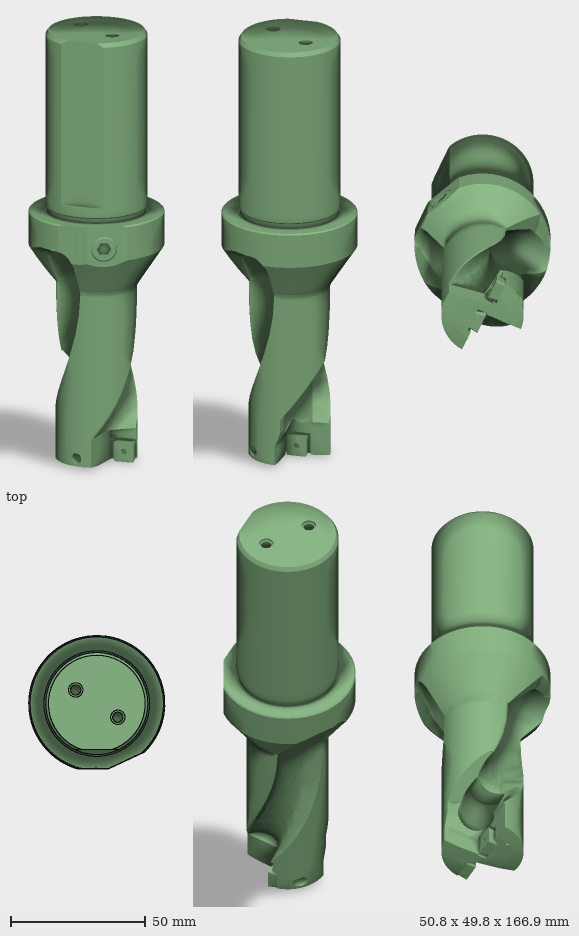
import cadquery as cq
import math

total_length = 166.9
shank_radius = 19.0
shank_chamfer_width = 1.0
shank_chamfer_height = 1.5
shank_flat_y = -17.1
shank_flat_bottom = 103.0
relief_depth = 0.5
relief_height = 2.0
relief_edge_radius = 19.7
flange_radius = 25.4
flange_top = 97.3
flange_bottom = 84.0
flange_chamfer = 0.5
cone_bottom = 68.8
cone_fillet = 3.3
body_radius = 15.4
tip_land_radius = 10.0
tip_land_z = 0.5
tip_edge_z = 1.2
pip_x = -7.8
pip_y = -6.3
pip_radius = 0.8

flange_flat_distance = 24.4
plug_flat_distance = 23.9
plug_flat_angle = 25
plug_z = 88.5
plug_radius = 4.8
plug_length = 5.0
mark_x = -0.3
mark_width = 0.3
mark_depth = 0.3
plug_chamfer = 0.5
plug_socket_size = 5.5
plug_socket_depth = 2.5

inlet_x = -7.8
inlet_y = 5.09
inlet_diameter = 3.8
inlet_recess_diameter = 5.3
inlet_recess_depth = 0.8
inlet_depth = 16.7
drill_point_angle = 118

slot_radius = 7.0
slot_x = -8.3
slot_y = -7.0
flute_edge = (-14.9, -2.8)
flute_edge_outer = (-18.4, 4.3)
flute_top = 69.0
flute_bottom = 11.7
flute_twist = 90
flute_sections = 9

runout_end_y = -13.7
runout_end_z = 79.8
relief_foot = (-2.2, 68.5)
relief_bend = (-14.7, 84.3)
relief_top = (-20, 86.8)
relief_turn = 8
relief_pivot = (-16.7, -8.3, 0)

gullet_center = (-4.2, 4.7, 16.5)
gullet_tilt = 17
gullet_length = 15
gullet_relief_point = (-10.3, 11.3, 32.0)
gullet_relief_normal = (-12.7, -4.7, -10.9)
gullet_relief_top = (2.5, 40)
gullet_relief_foot = (6.7, 14.0)

insert_size = 7.8
insert_thickness = 3.7
insert_corner = 0.7
insert_relief_angle = 7
insert_face = 1.0
insert_center_z = 4.2
outer_insert_x = 11.0
inner_insert_x = -3.0
seat_clearance = 0.8
seat_corner_radius = 1.2
seat_wall = 1.3
outer_chip_right = 17.0
outer_shelf_top = 12.2
outer_shelf_tilt = 8
outer_wall_rim_x = 2.8
outer_wall_inner_x = 5.5
inner_chip_right = 1.2
inner_chip_top = 8.2
inner_chip_slope_end = (-1.0, 14.0)
screw_radius = 2.0
screw_head_radius = 2.7
screw_head_height = 1.7
screw_length = 9.2
screw_tip_chamfer = 0.8
screw_socket_size = 2.5
screw_socket_depth = 1.0

full_turn = 360
half_turn = 180
selection_margin = 0.2
beyond = 33.4


def turned_blank():
    groove_radius = shank_radius - relief_depth
    blank = (
        cq.Workplane("XZ")
        .moveTo(0, tip_land_z)
        .lineTo(tip_land_radius, tip_land_z)
        .lineTo(body_radius, tip_edge_z)
        .lineTo(body_radius, cone_bottom)
        .lineTo(flange_radius, flange_bottom)
        .lineTo(flange_radius, flange_top - flange_chamfer)
        .lineTo(flange_radius - flange_chamfer, flange_top)
        .lineTo(relief_edge_radius, flange_top)
        .lineTo(relief_edge_radius, flange_top - relief_depth)
        .lineTo(groove_radius, flange_top - relief_depth)
        .lineTo(groove_radius, flange_top + relief_height - relief_depth)
        .lineTo(shank_radius, flange_top + relief_height)
        .lineTo(shank_radius, total_length - shank_chamfer_height)
        .lineTo(shank_radius - shank_chamfer_width, total_length)
        .lineTo(0, total_length)
        .close()
        .revolve(full_turn, (0, 0, 0), (0, 1, 0))
    )
    band_low = (-beyond, -beyond, cone_bottom - selection_margin)
    band_high = (beyond, beyond, cone_bottom + selection_margin)
    cone_foot = cq.selectors.BoxSelector(band_low, band_high)
    blank = blank.edges(cone_foot).fillet(cone_fillet)
    pip = cq.Workplane("XY").center(pip_x, pip_y).circle(pip_radius).extrude(2 * tip_land_z)
    return blank.union(pip)


def shank_flat():
    height = total_length - shank_flat_bottom
    return (
        cq.Workplane("XY")
        .box(2 * beyond, beyond, height, centered=(True, False, False))
        .translate((0, shank_flat_y - beyond, shank_flat_bottom))
    )


def flange_flat(distance, angle):
    """Cutter for a flat facing -Y at the given distance, turned about Z by the angle."""
    height = flange_top - cone_bottom
    return (
        cq.Workplane("XY")
        .box(2 * beyond, beyond, height, centered=(True, False, False))
        .translate((0, -distance - beyond, cone_bottom))
        .rotate((0, 0, 0), (0, 0, 1), angle)
    )


def alignment_mark():
    """Shallow groove along the flange's -Y flat."""
    height = flange_top - flange_bottom
    return (
        cq.Workplane("XY")
        .box(mark_width, 2 * mark_depth, 2 * height)
        .translate((mark_x, -flange_flat_distance, flange_top))
    )


def coolant_inlets():
    cone_height = inlet_diameter / 2 / math.tan(math.radians(drill_point_angle / 2))
    inlet = (
        cq.Workplane("XZ")
        .lineTo(inlet_recess_diameter / 2, 0)
        .lineTo(inlet_recess_diameter / 2, -inlet_recess_depth)
        .lineTo(inlet_diameter / 2, -inlet_recess_depth)
        .lineTo(inlet_diameter / 2, -inlet_depth)
        .lineTo(0, -inlet_depth - cone_height)
        .close()
        .revolve(full_turn, (0, 0, 0), (0, 1, 0))
        .translate((inlet_x, inlet_y, total_length))
    )
    return inlet.union(inlet.rotate((0, 0, 0), (0, 0, 1), half_turn))


def flute_section():
    wall_x = slot_x + slot_radius
    bottom = (slot_x, slot_y + slot_radius)
    return (
        cq.Workplane("XY")
        .moveTo(wall_x, -beyond)
        .lineTo(wall_x, slot_y)
        .threePointArc(bottom, flute_edge)
        .lineTo(*flute_edge_outer)
        .lineTo(-beyond, flute_edge_outer[1])
        .lineTo(-beyond, -beyond)
        .close()
    )


def flute():
    section = flute_section().val()
    axis_start = cq.Vector(0, 0, 0)
    axis_end = cq.Vector(0, 0, 1)
    wires = []
    for i in range(flute_sections):
        fraction = i / (flute_sections - 1)
        z = flute_top - fraction * (flute_top - flute_bottom)
        turned = section.rotate(axis_start, axis_end, -flute_twist * fraction**2)
        wires.append(turned.translate(cq.Vector(0, 0, z)))
    twisted = cq.Workplane(cq.Solid.makeLoft(wires))
    return twisted.union(flute_runout())


def flute_runout():
    start = cq.Vector(slot_x, slot_y, flute_top)
    end = cq.Vector(slot_x, runout_end_y, runout_end_z)
    climb = end - start
    outward = cq.Vector(0, -1, 0)
    lower_ball = cq.Workplane("XY").sphere(slot_radius).translate(start)
    upper_ball = cq.Workplane("XY").sphere(slot_radius).translate(end)
    climbing_bottom = cq.Solid.makeCylinder(slot_radius, climb.Length, start, climb)
    level_top = cq.Solid.makeCylinder(slot_radius, beyond, end, outward)
    opening = (
        cq.Workplane("YZ", origin=(slot_x, 0, 0))
        .moveTo(slot_y, flute_top)
        .lineTo(runout_end_y, runout_end_z)
        .lineTo(-beyond, runout_end_z)
        .lineTo(-beyond, flute_top)
        .close()
        .extrude(slot_radius, both=True)
    )
    climbing_slot = lower_ball.union(climbing_bottom).union(opening)
    return climbing_slot.union(upper_ball).union(level_top).union(runout_relief())


def runout_relief():
    """Sloping face that opens the run-out toward -X."""
    relief = (
        cq.Workplane("YZ", origin=(slot_x, 0, 0))
        .moveTo(*relief_foot)
        .lineTo(*relief_bend)
        .lineTo(*relief_top)
        .lineTo(-beyond, relief_top[1])
        .lineTo(-beyond, relief_foot[1])
        .close()
        .extrude(-beyond)
    )
    pivot = cq.Vector(relief_pivot)
    return relief.rotate(pivot, pivot + cq.Vector(0, 0, 1.7), -relief_turn)


def gullet():
    cutter = cq.Workplane("XY").circle(slot_radius).extrude(gullet_length)
    cutter = cutter.union(cq.Workplane("XY").sphere(slot_radius))
    return cutter.rotate((0, 0, 0), (1, 0, 0), gullet_tilt).translate(gullet_center)


def gullet_relief():
    """Inclined cut that widens the gullet's trailing edge down to the chip room."""
    inner_end = (inner_chip_slope_end[0], 0, 0)
    outline = (
        cq.Workplane("YZ", origin=inner_end)
        .moveTo(*gullet_relief_top)
        .lineTo(*gullet_relief_foot)
        .lineTo(beyond, gullet_relief_foot[1])
        .lineTo(beyond, gullet_relief_top[1])
        .close()
        .extrude(-beyond)
    )
    face = cq.Plane(origin=gullet_relief_point, normal=gullet_relief_normal)
    outside = cq.Workplane(face).rect(4 * beyond, 4 * beyond).extrude(2 * beyond)
    return outline.intersect(outside)


def outer_chip_space():
    """Flat shelf behind the outer insert, open to the front and to the tip."""
    rise = (outer_chip_right - outer_wall_inner_x) * math.tan(math.radians(outer_shelf_tilt))
    plan = (
        cq.Workplane("XY")
        .moveTo(outer_wall_rim_x, -body_radius)
        .lineTo(outer_wall_inner_x, seat_wall)
        .lineTo(outer_chip_right, seat_wall)
        .lineTo(outer_chip_right, -body_radius)
        .close()
        .extrude(outer_shelf_top + rise)
    )
    side = (
        cq.Workplane("XZ")
        .lineTo(0, outer_shelf_top)
        .lineTo(outer_wall_inner_x, outer_shelf_top)
        .lineTo(outer_chip_right, outer_shelf_top + rise)
        .lineTo(outer_chip_right, 0)
        .close()
        .extrude(beyond, both=True)
    )
    return plan.intersect(side)


def inner_chip_space():
    """Chip room beside the inner insert, reaching just past the axis."""
    return (
        cq.Workplane("XZ", origin=(0, -seat_wall, 0))
        .moveTo(inner_chip_right, 0)
        .lineTo(inner_chip_right, inner_chip_top)
        .lineTo(*inner_chip_slope_end)
        .lineTo(-beyond, inner_chip_slope_end[1])
        .lineTo(-beyond, 0)
        .close()
        .extrude(-beyond)
    )


def at_insert(shape, x, turned):
    """Place a shape made for a cutting face toward -Y; turned makes it face +Y."""
    if turned:
        shape = shape.rotate((0, 0, 0), (0, 0, 1), half_turn)
    return shape.translate((x, 0, insert_center_z))


def screw_blank():
    """Countersunk screw from the insert face toward +Y, without its socket."""
    return (
        cq.Workplane("XY")
        .moveTo(0, -insert_face)
        .lineTo(screw_head_radius, -insert_face)
        .lineTo(screw_radius, screw_head_height - insert_face)
        .lineTo(screw_radius, screw_length - insert_face - screw_tip_chamfer)
        .lineTo(screw_radius - screw_tip_chamfer, screw_length - insert_face)
        .lineTo(0, screw_length - insert_face)
        .close()
        .revolve(full_turn, (0, 0, 0), (0, 1, 0))
    )


def screw():
    socket = (
        cq.Workplane("XZ", origin=(0, -insert_face, 0))
        .polygon(6, screw_socket_size)
        .extrude(-screw_socket_depth)
    )
    return screw_blank().cut(socket)


def insert():
    return (
        cq.Workplane("XZ", origin=(0, -insert_face, 0))
        .rect(insert_size, insert_size)
        .extrude(-insert_thickness, taper=insert_relief_angle)
        .edges("not(<Y or >Y)")
        .fillet(insert_corner)
        .cut(screw_blank())
    )


def insert_seat():
    """Pocket and through hole in the body for one insert and its screw."""
    size = insert_size + 2 * seat_clearance
    pocket = (
        cq.Workplane("XZ", origin=(0, -insert_face, 0))
        .rect(size, size)
        .extrude(-insert_thickness)
    )
    hole = cq.Workplane("XZ").circle(screw_radius).extrude(-body_radius)
    corner = (
        cq.Workplane("XZ", origin=(-size / 2, -insert_face, size / 2))
        .circle(seat_corner_radius)
        .extrude(-insert_thickness)
    )
    return pocket.union(corner).union(hole)


def plug_blank():
    return (
        cq.Workplane("XZ", origin=(0, -plug_flat_distance, plug_z))
        .circle(plug_radius)
        .extrude(-plug_length)
        .rotate((0, 0, 0), (0, 0, 1), plug_flat_angle)
    )


def flange_plug():
    socket = (
        cq.Workplane("XZ", origin=(0, -plug_flat_distance, plug_z))
        .polygon(6, plug_socket_size)
        .extrude(-plug_socket_depth)
        .rotate((0, 0, 0), (0, 0, 1), plug_flat_angle)
    )
    angle = math.radians(plug_flat_angle)
    plug_center = (plug_flat_distance * math.sin(angle), -plug_flat_distance * math.cos(angle), plug_z)
    rim = cq.selectors.NearestToPointSelector(plug_center)
    return plug_blank().faces(rim).edges().chamfer(plug_chamfer).cut(socket)


insert_places = [(outer_insert_x, False), (inner_insert_x, True)]

drill_body = (
    turned_blank()
    .cut(shank_flat())
    .cut(flange_flat(flange_flat_distance, 0))
    .cut(flange_flat(plug_flat_distance, plug_flat_angle))
    .cut(alignment_mark())
    .cut(plug_blank())
    .cut(coolant_inlets())
)
for turn in (0, half_turn):
    drill_body = drill_body.cut(flute().rotate((0, 0, 0), (0, 0, 1), turn))
drill_body = drill_body.cut(gullet()).cut(gullet_relief()).cut(outer_chip_space()).cut(inner_chip_space())
for x, turned in insert_places:
    drill_body = drill_body.cut(at_insert(insert_seat(), x, turned))

inserts = [at_insert(insert(), x, turned).val() for x, turned in insert_places]
screws = [at_insert(screw(), x, turned).val() for x, turned in insert_places]

result = cq.Compound.makeCompound(
    [drill_body.val(), flange_plug().val(), *inserts, *screws]
)